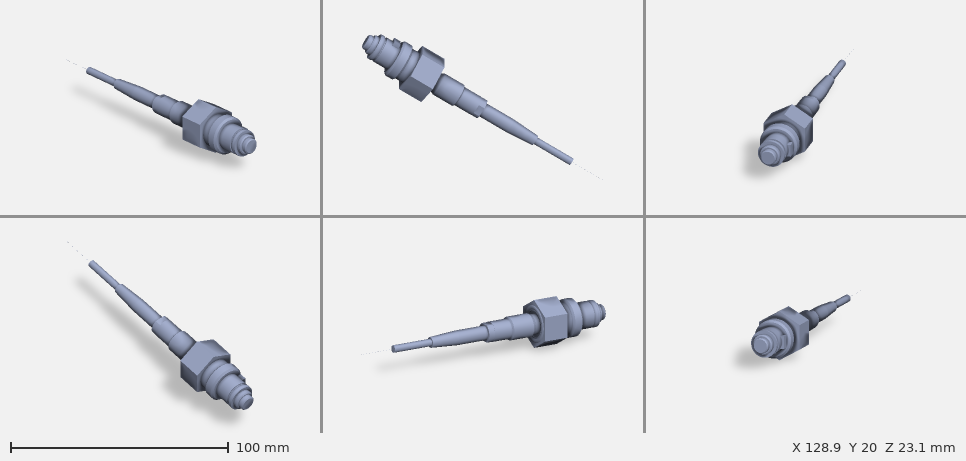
import cadquery as cq
import math

cable_start = 17.5
relief_start = 37.3
relief_cone_end = 50.9
collar_start = 66.0
collar_end = 69.1
grip_start = 78.3
grip_end = 89.3
neck_start = 90.8
boss_start = 92.2
nut_start = 92.6
nut_end = 104.5
flange_start = 108.3
flange_end = 113.8
groove_start = 121.2
groove_end = 121.7
shoulder_start = 123.5
shoulder_end = 124.3
nose_end = 126.6
total_length = 128.9

fibre_diameter = 0.05
cable_diameter = 3.5
relief_tip_diameter = 5.0
relief_diameter = 6.8
collar_diameter = 9.4
sleeve_diameter = 9.5
grip_diameter = 11.1
bore_diameter = 12.6
barrel_diameter = 15.7
flange_diameter = 18.0
plug_diameter = 12.6
bulge_middle_diameter = 12.5
groove_diameter = 11.6
tip_diameter = 7.3

grip_taper = 0.6
flange_cone_length = 1.0
flange_chamfer = 0.9
nose_chamfer = 0.5
tip_chamfer = 0.5
bulge_middle_offset = 0.6

collar_flat_width = 8.3
nut_across_flats = 20.0
boss_diameter = 17.7
boss_mouth_diameter = 13.8
recess_depth = 0.9
key_start = 114.9
key_length = 3.2
key_width = 5.9
key_top = 7.5


def make_connector():
    """Turned connector with its cable and fibre, wrench flats and key."""
    stations = [
        (0, fibre_diameter),
        (cable_start, fibre_diameter),
        (cable_start, cable_diameter),
        (relief_start, cable_diameter),
        (relief_start, relief_tip_diameter),
        (relief_cone_end, relief_diameter),
        (collar_start, relief_diameter),
        (collar_start, collar_diameter),
        (collar_end, collar_diameter),
        (collar_end, sleeve_diameter),
        (grip_start, sleeve_diameter),
        (grip_start + grip_taper, grip_diameter),
        (grip_end, grip_diameter),
        (neck_start, sleeve_diameter),
        (boss_start + recess_depth, sleeve_diameter),
        (boss_start + recess_depth, bore_diameter),
        (nut_end, bore_diameter),
        (nut_end, barrel_diameter),
        (flange_start, barrel_diameter),
        (flange_start + flange_cone_length, flange_diameter),
        (flange_end - flange_chamfer, flange_diameter),
        (flange_end, flange_diameter - 2 * flange_chamfer),
        (flange_end, plug_diameter),
        (groove_start, plug_diameter),
        (groove_start, groove_diameter),
        (shoulder_start, groove_diameter),
        (shoulder_start, plug_diameter),
        (shoulder_end, plug_diameter),
        (shoulder_end, sleeve_diameter),
        (nose_end - nose_chamfer, sleeve_diameter),
        (nose_end, sleeve_diameter - 2 * nose_chamfer),
        (nose_end, tip_diameter),
        (total_length - tip_chamfer, tip_diameter),
        (total_length, tip_diameter - 2 * tip_chamfer),
    ]
    outline = [(x, diameter / 2) for x, diameter in stations]
    body = (
        cq.Workplane("XY")
        .polyline([(0, 0), *outline, (total_length, 0)])
        .close()
        .revolve(360, (0, 0, 0), (1, 0, 0))
    )
    return cut_collar_flats(body).union(make_seal_bulge()).union(make_key())


def make_seal_bulge():
    """Rounded band that swells from the groove up to the plug shoulder."""
    return (
        cq.Workplane("XY")
        .moveTo(groove_end, 0)
        .lineTo(groove_end, groove_diameter / 2)
        .threePointArc(
            (groove_end + bulge_middle_offset, bulge_middle_diameter / 2),
            (shoulder_start, plug_diameter / 2),
        )
        .lineTo(shoulder_start, 0)
        .close()
        .revolve(360, (0, 0, 0), (1, 0, 0))
    )


def cut_collar_flats(body):
    """Two parallel wrench flats facing +Z and -Z on the collar."""
    collar_length = collar_end - collar_start
    for side in (-1, 1):
        cutter = (
            cq.Workplane("XY")
            .box(collar_length, sleeve_diameter, sleeve_diameter, centered=(False, True, True))
            .translate((collar_start, 0, side * (collar_flat_width + sleeve_diameter) / 2))
        )
        body = body.cut(cutter)
    return body


def make_key():
    """Orientation key standing on the +Y side of the plug."""
    return (
        cq.Workplane("XY")
        .box(key_length, key_top, key_width, centered=(False, False, True))
        .translate((key_start, 0, 0))
    )


def make_nut():
    """Hex nut with corners up, a raised ring on its -X face and a through bore."""
    across_corners = nut_across_flats / math.cos(math.pi / 6)
    hexagon = (
        cq.Workplane("YZ", origin=(nut_start, 0, 0))
        .transformed(rotate=(0, 0, 90))
        .polygon(6, across_corners)
        .extrude(nut_end - nut_start)
    )
    ring = (
        cq.Workplane("XY")
        .moveTo(nut_start, boss_mouth_diameter / 2)
        .threePointArc(
            (boss_start, (boss_mouth_diameter + boss_diameter) / 4),
            (nut_start, boss_diameter / 2),
        )
        .close()
        .revolve(360, (0, 0, 0), (1, 0, 0))
    )
    bore = (
        cq.Workplane("YZ", origin=(nut_start, 0, 0))
        .circle(bore_diameter / 2)
        .extrude(nut_end - nut_start)
    )
    return hexagon.union(ring).cut(bore)


connector = make_connector()
nut = make_nut()
result = cq.Compound.makeCompound([connector.val(), nut.val()])